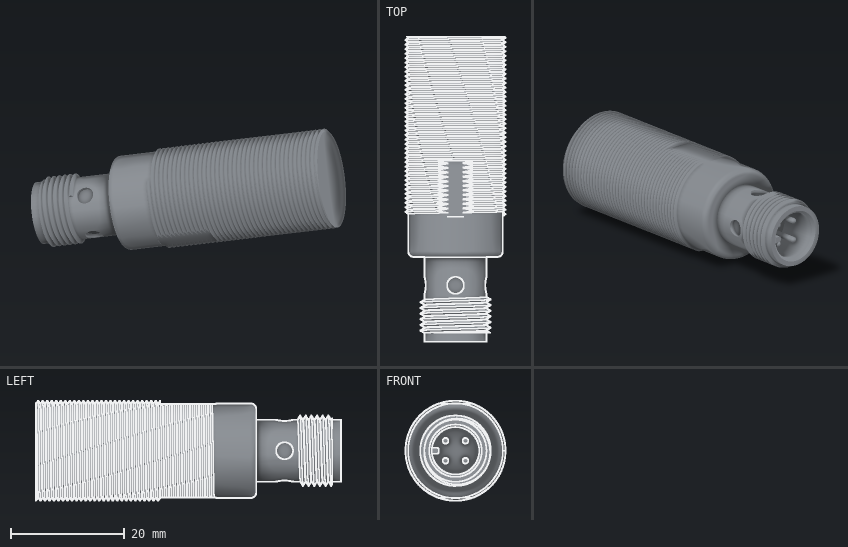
import cadquery as cq
import math

total_length = 54.0

barrel_radius = 8.39
collar_face_y = 15.0
collar_fillet = 1.0

neck_radius = 5.5
bore_radius = 4.2
bore_depth = 8.0
mouth_chamfer = 0.45

window_count = 4
window_diameter = 3.0
window_y = 10.0
window_floor_radius = 4.6

thread_root_share = 0.9
thread_overlap = 0.02
barrel_crest_radius = 8.875
barrel_pitch = 0.8
barrel_first_crest_y = 22.6
barrel_turns = 40
thread_runout = 2.0
neck_crest_radius = 6.25
neck_pitch = 1.0
neck_first_crest_y = 0.5
neck_turns = 7
neck_thread_start_y = 1.58

flat_width = 2.7
flat_start_y = 22.1
flat_end_y = 32.0
flat_height = math.sqrt(barrel_radius**2 - (flat_width / 2) ** 2)

insert_base_thickness = 2.0
pin_diameter = 1.0
pin_circle_diameter = 5.0
pin_count = 4
pin_tip_y = 2.2
key_width = 1.0
key_inner_x = -2.95
key_corner_radius = 0.25


def cylinder(radius, start_y, end_y):
    """Solid cylinder on the Y axis."""
    profile = cq.Workplane("XZ", origin=(0, start_y, 0)).circle(radius)
    return profile.extrude(start_y - end_y)


def thread_ridge(core_radius, crest_radius, pitch, first_crest_y, turns):
    """Right-handed V ridge, starting and ending on the +X side, whose root sinks into the core.

    Every turn has its own three helical faces, so that each face stays within one revolution.
    """
    root_radius = core_radius - thread_overlap
    half_width_at_core = pitch * thread_root_share / 2
    half_root = half_width_at_core * (crest_radius - root_radius) / (crest_radius - core_radius)
    corners = [(root_radius, -half_root), (crest_radius, 0), (root_radius, half_root)]

    faces = []
    for turn in range(turns):
        helices = [
            cq.Wire.makeHelix(pitch, pitch, radius).translate(cq.Vector(0, 0, turn * pitch + offset))
            for radius, offset in corners
        ]
        for index, helix in enumerate(helices):
            faces.extend(cq.Face.makeRuledSurface(helices[index - 1], helix).Faces())
    for end in (0, turns * pitch):
        outline = [cq.Vector(radius, 0, end + offset) for radius, offset in corners]
        faces.append(cq.Face.makeFromWires(cq.Wire.makePolygon(outline, close=True)))

    ridge = cq.Workplane(cq.Solid.makeSolid(cq.Shell.makeShell(faces)))
    return ridge.rotate((0, 0, 0), (1, 0, 0), -90).translate((0, first_crest_y, 0))


def make_barrel():
    core = cylinder(barrel_radius, collar_face_y, total_length + thread_runout)
    core = core.faces("<Y").edges().fillet(collar_fillet)
    ridge = thread_ridge(
        barrel_radius, barrel_crest_radius, barrel_pitch, barrel_first_crest_y, barrel_turns
    )
    barrel = core.union(ridge, clean=False)
    runout = cylinder(2 * barrel_radius, total_length, total_length + 2 * thread_runout)
    barrel = barrel.cut(runout, clean=False)

    flat_length = flat_end_y - flat_start_y
    for side in (1, -1):
        cutter = cq.Workplane().box(
            2 * barrel_crest_radius, flat_length, barrel_radius, centered=(True, False, True)
        )
        cutter = cutter.translate((0, flat_start_y, side * (flat_height + barrel_radius / 2)))
        barrel = barrel.cut(cutter, clean=False)
    return barrel


def make_neck():
    core = cylinder(neck_radius, 0, collar_face_y)
    ridge = thread_ridge(neck_radius, neck_crest_radius, neck_pitch, neck_first_crest_y, neck_turns)
    ridge = ridge.cut(cylinder(2 * neck_radius, 0, neck_thread_start_y), clean=False)
    neck = core.union(ridge, clean=False)
    window = (
        cq.Workplane("XY", origin=(0, window_y, window_floor_radius))
        .circle(window_diameter / 2)
        .extrude(neck_radius)
    )
    for index in range(window_count):
        neck = neck.cut(window.rotate((0, 0, 0), (0, 1, 0), index * 360 / window_count), clean=False)
    return neck


def make_housing():
    housing = make_barrel().union(make_neck(), clean=False)
    housing = housing.cut(cylinder(bore_radius, 0, bore_depth + insert_base_thickness), clean=False)
    mouth_radius = bore_radius + mouth_chamfer
    mouth_center = cq.Vector(0, 0, 0)
    inward = cq.Vector(0, 1, 0)
    mouth = cq.Workplane(cq.Solid.makeCone(mouth_radius, bore_radius, mouth_chamfer, mouth_center, inward))
    return housing.cut(mouth, clean=False)


def make_insert():
    """Base disc closing the bore, with a coding rib on the -X side and round-tipped pins."""
    insert = cylinder(bore_radius, bore_depth, bore_depth + insert_base_thickness)
    rib_depth = bore_radius + key_inner_x
    rib_length = bore_depth - mouth_chamfer
    rib = (
        cq.Workplane()
        .box(rib_depth, rib_length, key_width, centered=(False, False, True))
        .edges("|Y and >X")
        .fillet(key_corner_radius)
        .translate((-bore_radius, mouth_chamfer, 0))
    )
    insert = insert.union(rib.intersect(cylinder(bore_radius, 0, bore_depth)))
    pin_radius = pin_diameter / 2
    pin_dome_y = pin_tip_y + pin_radius
    pin = cylinder(pin_radius, pin_dome_y, bore_depth)
    pin = pin.union(cq.Workplane(origin=(0, pin_dome_y, 0)).sphere(pin_radius))
    pin = pin.translate((pin_circle_diameter / 2, 0, 0))
    for index in range(pin_count):
        insert = insert.union(pin.rotate((0, 0, 0), (0, 1, 0), (index + 0.5) * 360 / pin_count))
    return insert


housing = make_housing()
contact_insert = make_insert()
result = cq.Compound.makeCompound([housing.solids().val(), contact_insert.solids().val()])